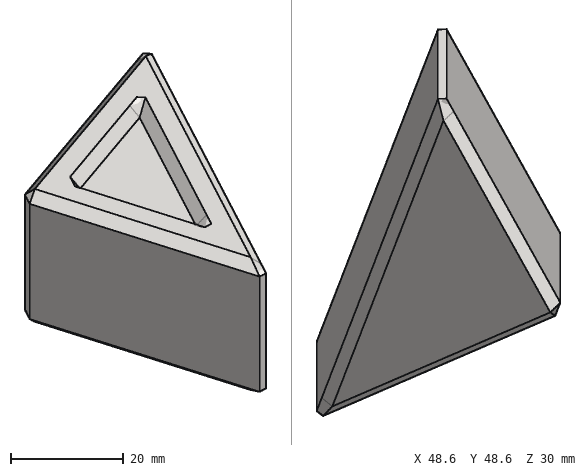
import cadquery as cq

leg = 50.0
height = 30.0
bevel = 2.0
pocket_leg = 30.0
pocket_offset = 6.0
pocket_depth = bevel


def bevelled_prism(leg_length, prism_height):
    """Right-triangle prism with its square corner at the origin and every edge bevelled."""
    triangle = cq.Workplane("XY").polyline([(0, 0), (leg_length, 0), (0, leg_length)]).close()
    return triangle.extrude(prism_height).edges().chamfer(bevel)


block = bevelled_prism(leg, height)

pocket_floor = height - pocket_depth
pocket_cutter = bevelled_prism(pocket_leg, height).translate((pocket_offset, pocket_offset, pocket_floor))

result = block.cut(pocket_cutter)